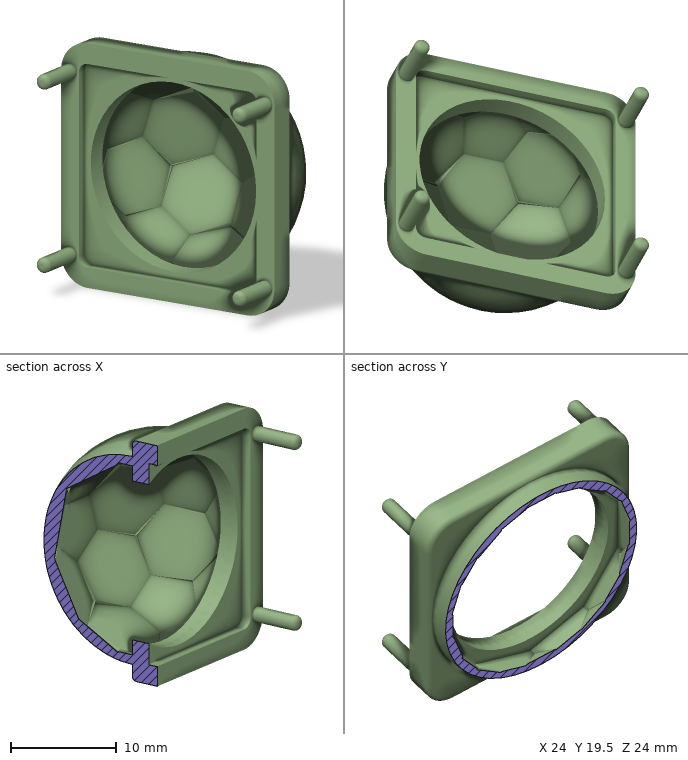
import cadquery as cq
import math

FLANGE_SIZE = 24.0
FLANGE_THICKNESS = 3.0
FLANGE_CORNER_RADIUS = 3.0
FLANGE_BACK_FILLET = 0.5

RECESS_SIZE = 20.0
RECESS_DEPTH = 1.0
RECESS_CORNER_RADIUS = 1.0
OPENING_RADIUS = 9.3

DOME_RADIUS = 11.5
CORE_RADIUS = 9.0

PIN_DIAMETER = 1.5
PIN_LENGTH = 5.0
PIN_TIP_FILLET = 0.5
PIN_OFFSET_X = 11.0
PIN_OFFSET_Z = 9.0

FACET_EDGE = 4.0
FACET_DISTANCE = 10.0
HEXAGON_TILT = 32.8
OUTER_PENTAGON_TILT = 66.8
OUTER_HEXAGON_TILT = 64.35
RIM_HEXAGON_TILT = 90.0
FACET_CUT_DEPTH = 3.0
FACETS_PER_RING = 5
RING_STEP = 360.0 / FACETS_PER_RING
FIRST_AZIMUTH = 90.0

PENTAGON_SIDES = 5
HEXAGON_SIDES = 6
PENTAGON_APOTHEM = FACET_EDGE / (2 * math.tan(math.pi / PENTAGON_SIDES))
HEXAGON_APOTHEM = FACET_EDGE / (2 * math.tan(math.pi / HEXAGON_SIDES))

CORNER_OUTWARD = 0.0
PENTAGON_EDGE_OUTWARD = 180.0 / PENTAGON_SIDES
HEXAGON_EDGE_OUTWARD = 180.0 / HEXAGON_SIDES


def rounded_square(size, corner_radius, thickness):
    """Square block with rounded corners that grows from Y = 0 towards +Y."""
    block = cq.Workplane("XZ").rect(size, size).extrude(-thickness)
    return block.edges("|Y").fillet(corner_radius)


def half_ball(radius):
    """Half ball that stands on the back face of the flange."""
    profile = cq.Workplane("YZ", origin=(0, FLANGE_THICKNESS, 0)).lineTo(0, radius)
    profile = profile.radiusArc((radius, 0), radius).close()
    return profile.revolve(360, (0, 0, 0), (1, 0, 0))


def pierced_flange():
    """Flange with its back edge rounded, its recess and the round opening."""
    flange = rounded_square(FLANGE_SIZE, FLANGE_CORNER_RADIUS, FLANGE_THICKNESS)
    flange = flange.faces(">Y").edges().fillet(FLANGE_BACK_FILLET)
    recess = rounded_square(RECESS_SIZE, RECESS_CORNER_RADIUS, RECESS_DEPTH)
    opening = cq.Workplane("XZ").circle(OPENING_RADIUS).extrude(-FLANGE_THICKNESS)
    return flange.cut(recess).cut(opening)


def pin(x, z):
    """Mounting pin with a rounded tip, pointing towards -Y."""
    shaft = cq.Workplane("XZ", origin=(x, 0, z)).circle(PIN_DIAMETER / 2).extrude(PIN_LENGTH)
    return shaft.faces("<Y").edges().fillet(PIN_TIP_FILLET)


def step(point, tilt, distance):
    """Move a (radial, axial) point outwards along a facet of the given tilt."""
    slope = math.radians(tilt)
    return (point[0] + distance * math.cos(slope), point[1] - distance * math.sin(slope))


def facet_prism(sides, first_corner, centre, tilt, azimuth):
    """Prism that reaches inwards from a polygonal facet.

    centre is the (radial, axial) place of the facet from the dome axis and dome centre.
    """
    slope = math.radians(tilt)
    turn = math.radians(azimuth)
    radial, axial = centre
    outward = cq.Vector(math.cos(turn), 0, math.sin(turn))
    along_y = cq.Vector(0, 1, 0)
    origin = outward * radial + along_y * (FLANGE_THICKNESS + axial)
    downhill = outward * math.cos(slope) - along_y * math.sin(slope)
    inward = outward * -math.sin(slope) - along_y * math.cos(slope)

    corner_radius = FACET_EDGE / (2 * math.sin(math.pi / sides))
    angles = [math.radians(first_corner + i * 360.0 / sides) for i in range(sides)]
    corners = [(corner_radius * math.cos(a), corner_radius * math.sin(a)) for a in angles]
    plane = cq.Plane(origin=origin, xDir=downhill, normal=inward)
    return cq.Workplane(plane).polyline(corners).close().extrude(FACET_CUT_DEPTH)


def facet_prisms():
    """Prisms of all facets: a central pentagon and the rings of facets around it."""
    apex = (0, FACET_DISTANCE)
    hinge = (PENTAGON_APOTHEM, FACET_DISTANCE)
    hexagon = step(hinge, HEXAGON_TILT, HEXAGON_APOTHEM)
    far_edge = step(hinge, HEXAGON_TILT, 2 * HEXAGON_APOTHEM)
    outer_pentagon = step(far_edge, OUTER_PENTAGON_TILT, PENTAGON_APOTHEM)

    half_step = math.radians(RING_STEP / 2)
    far_corner_radial = far_edge[0] * math.cos(half_step) + FACET_EDGE / 2 * math.sin(half_step)
    far_corner = (far_corner_radial, far_edge[1])
    outer_hexagon = step(far_corner, OUTER_HEXAGON_TILT, FACET_EDGE / 2)

    side_corner = step(outer_hexagon, OUTER_HEXAGON_TILT, FACET_EDGE / 2)
    quarter_step = math.radians(RING_STEP / 4)
    rim_radial = side_corner[0] * math.cos(quarter_step) + HEXAGON_APOTHEM * math.sin(quarter_step)
    rim_hexagon = step((rim_radial, side_corner[1]), RIM_HEXAGON_TILT, FACET_EDGE)

    prisms = [facet_prism(PENTAGON_SIDES, PENTAGON_EDGE_OUTWARD, apex, 0, FIRST_AZIMUTH)]
    for i in range(FACETS_PER_RING):
        azimuth = FIRST_AZIMUTH + i * RING_STEP
        between = azimuth + RING_STEP / 2
        prisms.append(facet_prism(HEXAGON_SIDES, HEXAGON_EDGE_OUTWARD, hexagon, HEXAGON_TILT, azimuth))
        prisms.append(
            facet_prism(PENTAGON_SIDES, CORNER_OUTWARD, outer_pentagon, OUTER_PENTAGON_TILT, azimuth)
        )
        prisms.append(
            facet_prism(HEXAGON_SIDES, CORNER_OUTWARD, outer_hexagon, OUTER_HEXAGON_TILT, between)
        )
        for side in (-1, 1):
            beside = azimuth + side * RING_STEP / 4
            prisms.append(
                facet_prism(HEXAGON_SIDES, CORNER_OUTWARD, rim_hexagon, RIM_HEXAGON_TILT, beside)
            )
    return prisms


def faceted_dome():
    """Dome with a smooth outside and a cavity lined with flat facets."""
    solids = [prism.val() for prism in facet_prisms()]
    cavity = cq.Workplane(half_ball(CORE_RADIUS).val().fuse(*solids))
    return half_ball(DOME_RADIUS).cut(cavity)


body = pierced_flange().union(faceted_dome())
for pin_x in (-PIN_OFFSET_X, PIN_OFFSET_X):
    for pin_z in (-PIN_OFFSET_Z, PIN_OFFSET_Z):
        body = body.union(pin(pin_x, pin_z))

result = body